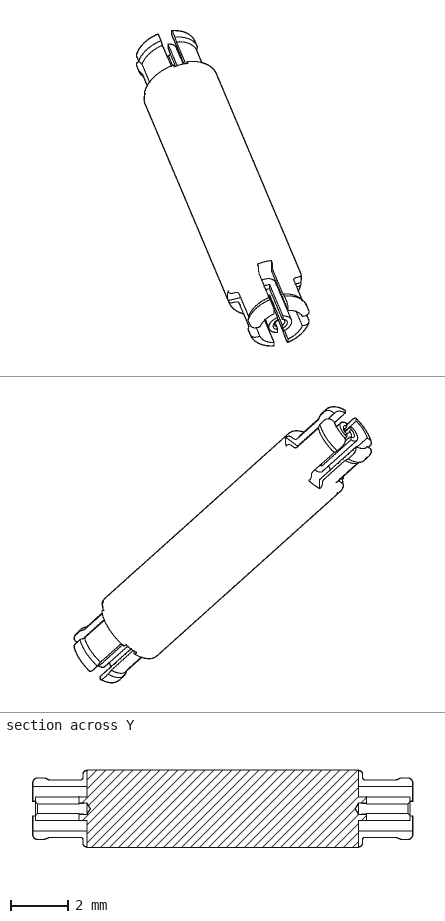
import cadquery as cq
import math

total_length = 13.3
body_radius = 1.36
body_length = 9.78
body_edge_round = 0.12

finger_radius = 1.04
finger_bore_radius = 0.82
finger_root_fillet = 0.08
lip_radius = 1.11
lip_nose_round = 0.18
lip_length = 0.42
lip_back_length = 0.16

slot_width = 0.51
slot_depth = 1.9
slot_count = 4

contact_radius = 0.42
contact_recess = 0.1
contact_slot_width = 0.2
contact_slot_depth = 1.52
socket_radius = 0.19
socket_mouth_radius = 0.26
socket_mouth_depth = 0.07
socket_depth = 1.8
socket_tip_half_angle = 59

half_length = total_length / 2
half_body = body_length / 2
floor_position = half_length - slot_depth
contact_end = half_length - contact_recess
diagonal = math.sqrt(0.5)


def turn(profile):
    """Revolve a closed half profile, drawn as X and radius, about the X axis."""
    return profile.close().revolve(360, (0, 0, 0), (1, 0, 0))


def cylinder(radius, start, end):
    """Cylinder on the X axis between two X positions."""
    return cq.Workplane("YZ", origin=(start, 0, 0)).circle(radius).extrude(end - start)


def sleeve():
    """Plain body between the two spring ends, with rounded shoulders."""
    return cylinder(body_radius, -half_body, half_body).edges().fillet(body_edge_round)


def finger_ring():
    """Undivided spring end standing on the shoulder, with root fillet and rounded lip."""
    root_radius = finger_radius + finger_root_fillet
    nose_radius = lip_radius - lip_nose_round
    nose_start = half_length - lip_nose_round
    lip_back = half_length - lip_length
    root_arc_middle = finger_root_fillet * (1 - diagonal)
    nose_arc_middle = lip_nose_round * diagonal
    return turn(
        cq.Workplane("XY")
        .moveTo(half_body, 0)
        .lineTo(half_body, root_radius)
        .threePointArc(
            (half_body + root_arc_middle, finger_radius + root_arc_middle),
            (half_body + finger_root_fillet, finger_radius),
        )
        .lineTo(lip_back - lip_back_length, finger_radius)
        .lineTo(lip_back, lip_radius)
        .lineTo(nose_start, lip_radius)
        .threePointArc(
            (nose_start + nose_arc_middle, nose_radius + nose_arc_middle),
            (half_length, nose_radius),
        )
        .lineTo(half_length, 0)
    )


def finger_slots():
    """Radial slots at right angles that divide the ring into fingers."""
    slots = cq.Workplane("XY")
    for index in range(slot_count // 2):
        slot = (
            cq.Workplane("XY", origin=(floor_position + slot_depth / 2, 0, 0))
            .box(slot_depth, slot_width, 2 * body_radius)
            .rotate((0, 0, 0), (1, 0, 0), index * 360 / slot_count)
        )
        slots = slots.union(slot)
    return slots


def contact_socket():
    """Blind socket with a tapered mouth and a drill-point bottom."""
    socket_bottom = contact_end - socket_depth
    tip_length = socket_radius / math.tan(math.radians(socket_tip_half_angle))
    return turn(
        cq.Workplane("XY")
        .moveTo(socket_bottom - tip_length, 0)
        .lineTo(socket_bottom, socket_radius)
        .lineTo(contact_end - socket_mouth_depth, socket_radius)
        .lineTo(contact_end, socket_mouth_radius)
        .lineTo(contact_end, 0)
    )


def contact_slot():
    """Slot across the contact, open above and below, stopping short of the bore floor."""
    middle = contact_end - contact_slot_depth / 2
    return cq.Workplane("XY", origin=(middle, 0, 0)).box(
        contact_slot_depth, contact_slot_width, 2 * contact_radius
    )


def contact():
    """Slotted socket contact, rising from the bore floor."""
    post = cylinder(contact_radius, floor_position, contact_end)
    return post.cut(contact_socket()).cut(contact_slot())


def both_ends(shape):
    """The +X shape together with its mirror image at the -X end."""
    return shape.union(shape.mirror("YZ"))


result = (
    sleeve()
    .union(both_ends(finger_ring()))
    .cut(both_ends(cylinder(finger_bore_radius, floor_position, half_length)))
    .cut(both_ends(finger_slots()))
    .cut(both_ends(contact_socket()))
    .union(both_ends(contact()))
)